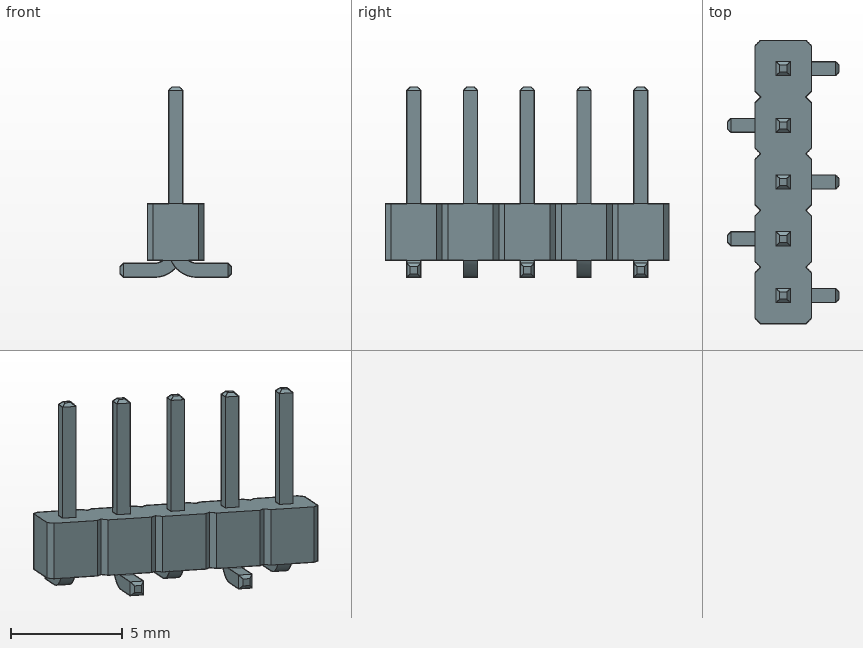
import cadquery as cq
import math

pin_count = 5
pitch = 2.54
housing_length = pin_count * pitch
housing_width = pitch
housing_height = pitch
corner_cut = 0.25

pin_side = 0.64
pin_height_above_housing = 5.23
tip_chamfer = pin_side / 4
tail_depth = 0.76
tail_reach = 2.5
bend_inner_radius = pin_side

pin_top = housing_height + pin_height_above_housing
half_pin = pin_side / 2
bend_outer_radius = bend_inner_radius + pin_side
bend_center_x = half_pin + bend_inner_radius
bend_center_z = bend_outer_radius - tail_depth


def housing_cell(y):
    """One octagonal cell of the housing; neighbouring corner cuts form the V notches."""
    return (
        cq.Workplane("XY")
        .center(0, y)
        .rect(housing_width, pitch)
        .extrude(housing_height)
        .edges("|Z")
        .chamfer(corner_cut)
    )


def bend_midpoint(radius):
    """Point halfway around the quarter-circle bend, as (x, z)."""
    offset = radius * math.sqrt(0.5)
    return (bend_center_x - offset, bend_center_z - offset)


def bent_pin():
    """Square pin with its tail bent toward +X, centred on Y = 0, with tapered tips."""
    profile = (
        cq.Workplane("XZ")
        .moveTo(-half_pin, pin_top)
        .lineTo(-half_pin, bend_center_z)
        .threePointArc(bend_midpoint(bend_outer_radius), (bend_center_x, -tail_depth))
        .lineTo(tail_reach, -tail_depth)
        .lineTo(tail_reach, pin_side - tail_depth)
        .lineTo(bend_center_x, pin_side - tail_depth)
        .threePointArc(bend_midpoint(bend_inner_radius), (half_pin, bend_center_z))
        .lineTo(half_pin, pin_top)
        .close()
    )
    pin = profile.extrude(half_pin, both=True)
    pin = pin.faces(">Z").chamfer(tip_chamfer)
    return pin.faces(">X").chamfer(tip_chamfer)


right_pin = bent_pin()
left_pin = right_pin.mirror("YZ")

first_y = (pitch - housing_length) / 2
pin_positions = [first_y + index * pitch for index in range(pin_count)]

result = housing_cell(first_y)
for y in pin_positions[1:]:
    result = result.union(housing_cell(y))

for index, y in enumerate(pin_positions):
    pin = right_pin if index % 2 == 0 else left_pin
    result = result.union(pin.translate((0, y, 0)))

result = result.clean()